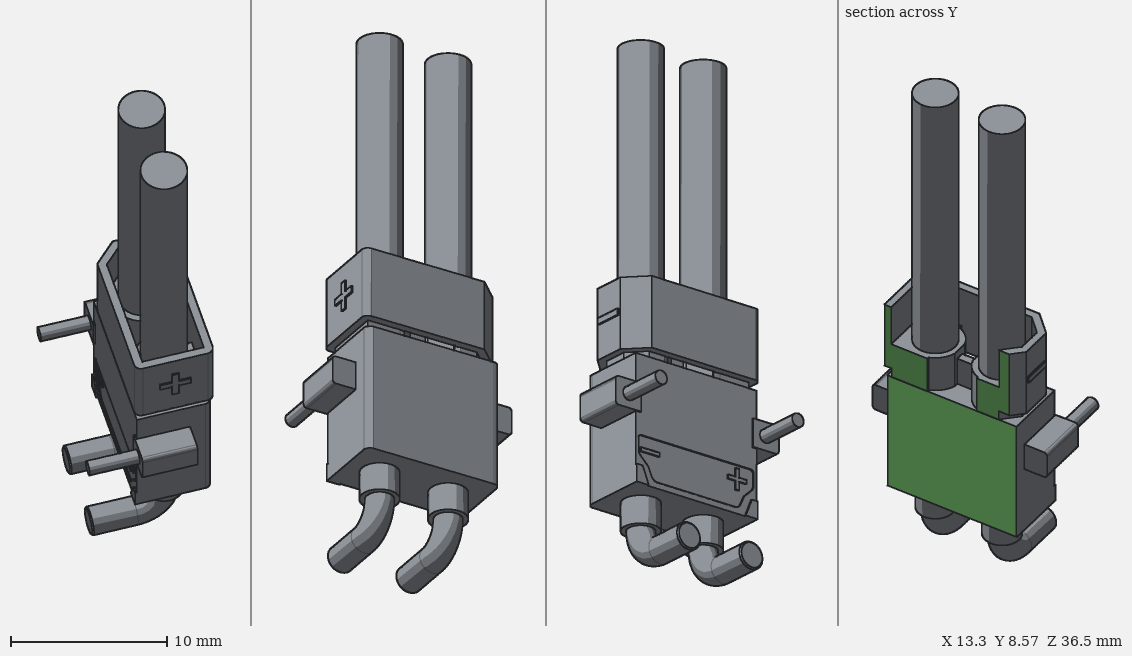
import cadquery as cq


POLE_PITCH = 5.08
POLE_X = POLE_PITCH / 2
SIDES = (-1, 1)

BLOCK_WIDTH = 9.85
BLOCK_DEPTH = 5.0
BLOCK_HEIGHT = 9.0
BLOCK_EDGE_RADIUS = 0.45
MOUNT_FACE_Y = -2.62

EAR_OUTER_X = 6.65
EAR_INNER_X = 4.57
EAR_BACK_Y = 1.05
EAR_HEIGHT = 2.0
EAR_CENTER_Z = 5.95
EAR_EDGE_RADIUS = 0.25
PEG_X = 5.57
PEG_DIAMETER = 0.95
PEG_END_Y = -5.95

BARREL_DIAMETER = 2.6
BARREL_LENGTH = 1.95
LEAD_DIAMETER = 1.9
LEAD_BEND_RADIUS = 2.0
LEAD_END_Y = -5.03
LEAD_END_CHAMFER = 0.1

PAD_HEIGHT = 1.24
PAD_TOP_X = 4.45
PAD_BOTTOM_X = 3.95

PANEL_DEPTH = 0.1
PANEL_TOP_Z = 3.4
PANEL_BOTTOM_Z = 0.44
PANEL_SIDE_X = 4.69
PANEL_SIDE_END_Z = 2.1
PANEL_KNEE_X = 3.9
PANEL_KNEE_Z = 1.35
PANEL_BOTTOM_X = 3.5
PANEL_TOP_RADIUS = 0.25
PANEL_BEND_RADIUS = 0.5
MINUS_MARK_X = -3.73
PLUS_MARK_X = 3.37
PANEL_MARK_Z = 2.42
PANEL_MARK_LENGTH = 1.5
PANEL_MARK_WIDTH = 0.28

NECK_HEIGHT = 0.65
SHELL_WIDTH = 10.3
SHELL_DEPTH = 2 * -MOUNT_FACE_Y
SHELL_HEIGHT = 5.0
SHELL_CHAMFER = 1.45
SHELL_EDGE_RADIUS = 0.45
INSULATOR_WIDTH = 9.24
INSULATOR_DEPTH = 4.1
INSULATOR_CHAMFER = 1.15
CUP_DEPTH = 3.0

TUBE_OUTER_RADIUS = 2.07
GAP_HALF_WIDTH = 1.87
GAP_ARC_RADIUS = 1.95
GAP_WAIST_HALF_WIDTH = 0.68
WEB_THICKNESS = 0.6
WEB_DROP = 0.6

WIRE_DIAMETER = 3.0
WIRE_EXPOSED_LENGTH = 17.0

SHELL_MARK_LENGTH = 2.05
SHELL_MARK_WIDTH = 0.45
SHELL_MARK_HEIGHT = 0.1
SHELL_MARK_RISE = 2.65

NECK_BOTTOM_Z = BLOCK_HEIGHT
SHELL_BOTTOM_Z = NECK_BOTTOM_Z + NECK_HEIGHT
SHELL_TOP_Z = SHELL_BOTTOM_Z + SHELL_HEIGHT
CUP_FLOOR_Z = SHELL_TOP_Z - CUP_DEPTH
SHELL_MARK_Z = SHELL_BOTTOM_Z + SHELL_MARK_RISE


def upright_box(width, depth, z0, z1):
    """Box centered on the Z axis."""
    return cq.Workplane("XY", origin=(0, 0, z0)).rect(width, depth).extrude(z1 - z0)


def upright_cylinder(x, radius, z0, z1):
    """Cylinder along Z on the y = 0 plane."""
    return cq.Workplane("XY", origin=(x, 0, z0)).circle(radius).extrude(z1 - z0)



def header_block():
    block = upright_box(BLOCK_WIDTH, BLOCK_DEPTH, 0, BLOCK_HEIGHT)
    return block.edges("|Z and >Y").fillet(BLOCK_EDGE_RADIUS)


def mounting_ear(side):
    """Side ear with its board peg."""
    width = EAR_OUTER_X - EAR_INNER_X
    center_x = side * (EAR_OUTER_X + EAR_INNER_X) / 2
    ear = cq.Workplane("XZ", origin=(center_x, EAR_BACK_Y, EAR_CENTER_Z)).rect(width, EAR_HEIGHT)
    ear = ear.extrude(EAR_BACK_Y - MOUNT_FACE_Y)
    ear = ear.edges("|Y").edges(">X" if side > 0 else "<X").fillet(EAR_EDGE_RADIUS)
    peg = cq.Workplane("XZ", origin=(side * PEG_X, MOUNT_FACE_Y, EAR_CENTER_Z)).circle(PEG_DIAMETER / 2)
    return ear.union(peg.extrude(MOUNT_FACE_Y - PEG_END_Y))


def corner_pad(side):
    """Thin standoff pad at a lower corner of the front face."""
    edge_x = BLOCK_WIDTH / 2
    corners = [(edge_x, 0), (edge_x, PAD_HEIGHT), (PAD_TOP_X, PAD_HEIGHT), (PAD_BOTTOM_X, 0)]
    profile = cq.Workplane("XZ").polyline([(side * x, z) for x, z in corners]).close()
    return profile.extrude(-MOUNT_FACE_Y)


def label_panel():
    """Shallow recess in the front face, leaving raised minus and plus marks."""
    half = [
        (PANEL_SIDE_X, PANEL_TOP_Z),
        (PANEL_SIDE_X, PANEL_SIDE_END_Z),
        (PANEL_KNEE_X, PANEL_KNEE_Z),
        (PANEL_BOTTOM_X, PANEL_BOTTOM_Z),
    ]
    outline = half + [(-x, z) for x, z in reversed(half)]
    floor_y = -BLOCK_DEPTH / 2 + PANEL_DEPTH
    plane = cq.Workplane("XZ", origin=(0, floor_y, 0))
    recess = plane.polyline(outline).close().extrude(PANEL_DEPTH)
    recess = recess.edges("|Y and (not >Z)").fillet(PANEL_BEND_RADIUS)
    recess = recess.edges("|Y and >Z").fillet(PANEL_TOP_RADIUS)
    for mark_x in (MINUS_MARK_X, PLUS_MARK_X):
        bar = plane.center(mark_x, PANEL_MARK_Z).rect(PANEL_MARK_LENGTH, PANEL_MARK_WIDTH)
        recess = recess.cut(bar.extrude(PANEL_DEPTH))
    plus_stroke = plane.center(PLUS_MARK_X, PANEL_MARK_Z).rect(PANEL_MARK_WIDTH, PANEL_MARK_LENGTH)
    return recess.cut(plus_stroke.extrude(PANEL_DEPTH))


def contact_lead(x):
    """Barrel under the block with a lead bent towards -Y."""
    barrel = upright_cylinder(x, BARREL_DIAMETER / 2, -BARREL_LENGTH, 0)
    axis_z = -BARREL_LENGTH - LEAD_BEND_RADIUS
    start = cq.Workplane("XY", origin=(x, 0, -BARREL_LENGTH)).circle(LEAD_DIAMETER / 2)
    bend = start.revolve(90, (1, -LEAD_BEND_RADIUS), (-1, -LEAD_BEND_RADIUS))
    straight = cq.Workplane("XZ", origin=(x, -LEAD_BEND_RADIUS, axis_z)).circle(LEAD_DIAMETER / 2)
    straight = straight.extrude(-LEAD_BEND_RADIUS - LEAD_END_Y).faces("<Y").chamfer(LEAD_END_CHAMFER)
    return barrel.union(bend).union(straight)


def make_header():
    header = header_block().cut(label_panel())
    for side in SIDES:
        header = header.union(mounting_ear(side))
        header = header.union(corner_pad(side))
        header = header.union(contact_lead(side * POLE_X))
    return header



def keyed_prism(width, depth, chamfer, z0, z1):
    """Rectangular prism whose two -X edges are chamfered to key the polarity."""
    prism = upright_box(width, depth, z0, z1)
    return prism.edges("|Z and <X").chamfer(chamfer)


def insulator_prism(z0, z1):
    return keyed_prism(INSULATOR_WIDTH, INSULATOR_DEPTH, INSULATOR_CHAMFER, z0, z1)


def tube_gap():
    """Hourglass gap between the two insulator tubes, without the web."""
    waist_width = 2 * GAP_WAIST_HALF_WIDTH
    waist = upright_box(waist_width, INSULATOR_DEPTH, NECK_BOTTOM_Z, CUP_FLOOR_Z)
    gap = upright_box(2 * GAP_HALF_WIDTH, INSULATOR_DEPTH, NECK_BOTTOM_Z, CUP_FLOOR_Z)
    for side in SIDES:
        gap = gap.cut(upright_cylinder(side * POLE_X, GAP_ARC_RADIUS, NECK_BOTTOM_Z, CUP_FLOOR_Z))
    web = upright_box(waist_width, WEB_THICKNESS, NECK_BOTTOM_Z, CUP_FLOOR_Z - WEB_DROP)
    return gap.union(waist).cut(web)


def neck_corner_relief():
    """Material removed to round the tubes beside the gap where the neck is bare."""
    relief = upright_box(POLE_PITCH, INSULATOR_DEPTH, NECK_BOTTOM_Z, SHELL_BOTTOM_Z)
    relief = relief.cut(upright_box(2 * GAP_HALF_WIDTH, INSULATOR_DEPTH, NECK_BOTTOM_Z, SHELL_BOTTOM_Z))
    for side in SIDES:
        relief = relief.cut(upright_cylinder(side * POLE_X, TUBE_OUTER_RADIUS, NECK_BOTTOM_Z, SHELL_BOTTOM_Z))
    return relief


def shell_mark(side):
    """Raised polarity mark: minus on the -X face, plus on the +X face."""
    plane = cq.Workplane("YZ", origin=(side * SHELL_WIDTH / 2, 0, SHELL_MARK_Z))
    mark = plane.rect(SHELL_MARK_LENGTH, SHELL_MARK_WIDTH).extrude(side * SHELL_MARK_HEIGHT)
    if side > 0:
        mark = mark.union(plane.rect(SHELL_MARK_WIDTH, SHELL_MARK_LENGTH).extrude(SHELL_MARK_HEIGHT))
    return mark


def make_plug():
    shell = keyed_prism(SHELL_WIDTH, SHELL_DEPTH, SHELL_CHAMFER, SHELL_BOTTOM_Z, SHELL_TOP_Z)
    shell = shell.edges("|Z and >X").fillet(SHELL_EDGE_RADIUS)
    plug = shell.union(insulator_prism(NECK_BOTTOM_Z, SHELL_BOTTOM_Z))
    plug = plug.cut(insulator_prism(CUP_FLOOR_Z, SHELL_TOP_Z))
    plug = plug.cut(tube_gap()).cut(neck_corner_relief())
    wire_top_z = SHELL_TOP_Z + WIRE_EXPOSED_LENGTH
    for side in SIDES:
        plug = plug.union(upright_cylinder(side * POLE_X, WIRE_DIAMETER / 2, CUP_FLOOR_Z, wire_top_z))
        plug = plug.union(shell_mark(side))
    return plug


header = make_header()
plug = make_plug()

result = cq.Compound.makeCompound([header.val(), plug.val()])